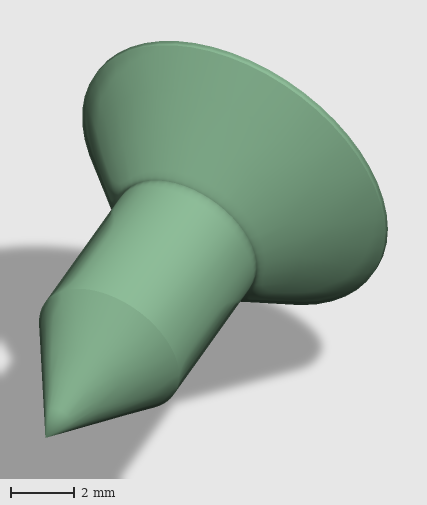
import cadquery as cq
import math

total_length = 13.0
head_diameter = 10.8
shank_diameter = 5.0
rim_thickness = 0.21
head_height = 3.39
tip_angle = 60.0

head_radius = head_diameter / 2
shank_radius = shank_diameter / 2
tip_length = shank_radius / math.tan(math.radians(tip_angle / 2))
tip_base_y = tip_length - total_length

half_section = (
    cq.Workplane("XY")
    .moveTo(0, 0)
    .lineTo(head_radius, 0)
    .lineTo(head_radius, -rim_thickness)
    .lineTo(shank_radius, -head_height)
    .lineTo(shank_radius, tip_base_y)
    .lineTo(0, -total_length)
    .close()
)

result = half_section.revolve(360, (0, 0, 0), (0, 1, 0))